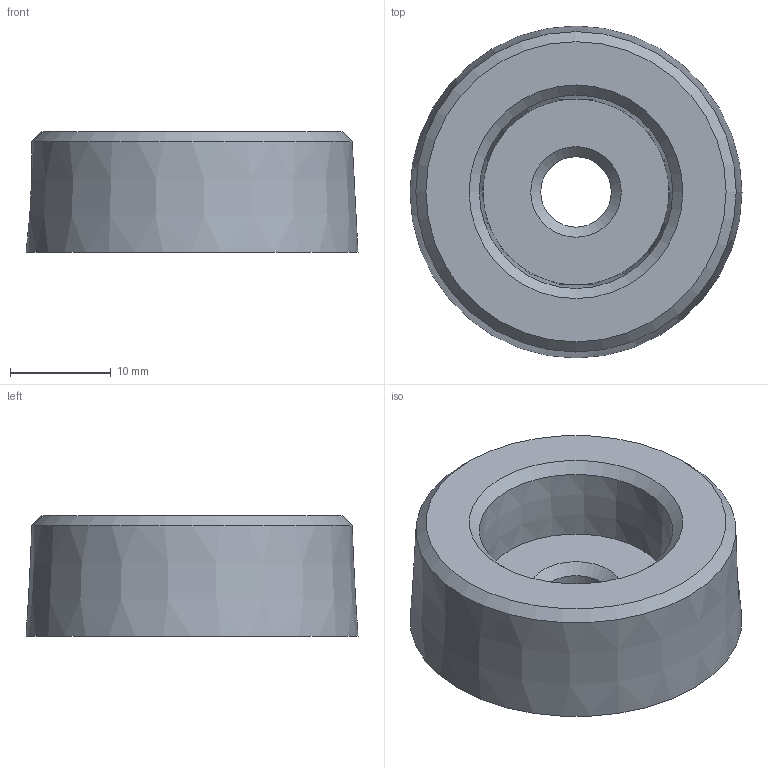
import cadquery as cq
import math

height = 12.0
base_radius = 33.0 / 2
draft_angle = 3.0
edge_chamfer = 1.0

floor_radius = 18.5 / 2
floor_height = 4.0

hole_radius = 7.0 / 2

wall_top = height - edge_chamfer
draft_slope = math.tan(math.radians(draft_angle))
outer_wall_top_radius = base_radius - wall_top * draft_slope
recess_wall_top_radius = floor_radius + (wall_top - floor_height) * draft_slope


def revolved(profile):
    """Revolve a closed (radius, height) profile around the Z axis."""
    return cq.Workplane("XZ").polyline(profile).close().revolve(360, (0, 0, 0), (0, 1, 0))


def outer_body():
    """Disc that narrows upward, with a chamfered top rim."""
    return revolved([
        (0, 0),
        (base_radius, 0),
        (outer_wall_top_radius, wall_top),
        (outer_wall_top_radius - edge_chamfer, height),
        (0, height),
    ])


def stepped_bore():
    """Chamfered through hole below a recess that widens up to its chamfered mouth."""
    return revolved([
        (0, 0),
        (hole_radius, 0),
        (hole_radius, floor_height - edge_chamfer),
        (hole_radius + edge_chamfer, floor_height),
        (floor_radius, floor_height),
        (recess_wall_top_radius, wall_top),
        (recess_wall_top_radius + edge_chamfer, height),
        (0, height),
    ])


result = outer_body().cut(stepped_bore())